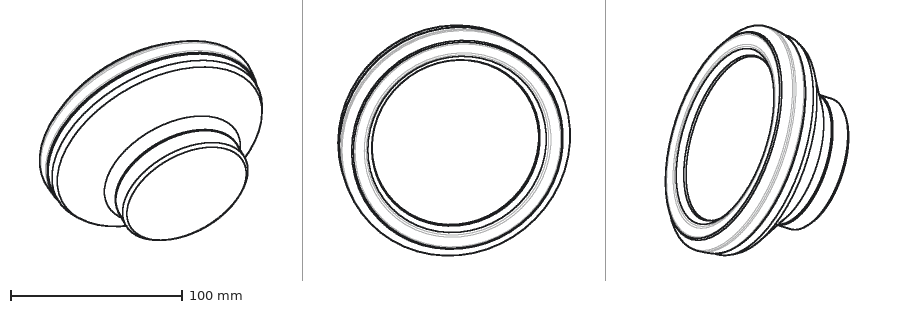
import cadquery as cq

total_length = 63.1
joint_x = 15.0

bezel_radius = 68.6
bezel_rear_edge_x = 14.3
bezel_rear_edge_radius = 67.6
bezel_crown_start = 6.0
bezel_crown_flat = 1.1
bezel_shoulder_x = 12.9
bezel_shoulder_radius = 68.0
bevel_end_x = 5.1
bevel_end_radius = 68.2
bevel_start_x = 1.0
bevel_start_radius = 63.2
rim_radius = 62.4
dish_outer_radius = 61.5
dish_outer_x = 0.1
dish_inner_radius = 55.8
dish_inner_x = 1.0
lip_radius = 54.6
lip_x = 1.2
mouth_radius = 53.4
mouth_x = 1.8
floor_x = 6.3
opening_radius = 49.8
land_depth = 1.2
land_taper = 0.5
rounding_bulge = 0.11

band_radius = 134.2 / 2
band_end_x = 20.3
cone_start_x = 24.0
cone_start_radius = 65.3
cone_end_x = 42.5
cone_end_radius = 43.3
neck_radius = 79.5 / 2
neck_x = 50.0
collar_radius = 80.0 / 2
collar_x = 51.0
collar_chamfer = 1.9


def revolve_about_x(profile):
    """Turn a closed XY half profile (Y is the radius) about the X axis."""
    return profile.close().revolve(360, (0, 0, 0), (1, 0, 0))


def make_bezel():
    """Dished, bevelled ring with a tapered opening."""
    profile = (
        cq.Workplane("XY")
        .moveTo(joint_x, opening_radius)
        .lineTo(floor_x, opening_radius)
        .lineTo(floor_x - land_depth, opening_radius + land_taper)
        .lineTo(mouth_x, mouth_radius)
        .lineTo(lip_x, lip_radius)
        .lineTo(dish_inner_x, dish_inner_radius)
        .lineTo(dish_outer_x, dish_outer_radius)
        .lineTo(0, rim_radius)
        .sagittaArc((bevel_start_x, bevel_start_radius), rounding_bulge)
        .lineTo(bevel_end_x, bevel_end_radius)
        .sagittaArc((bezel_crown_start, bezel_radius), rounding_bulge)
        .lineTo(bezel_crown_start + bezel_crown_flat, bezel_radius)
        .lineTo(bezel_shoulder_x, bezel_shoulder_radius)
        .lineTo(bezel_rear_edge_x, bezel_rear_edge_radius)
        .lineTo(joint_x, band_radius)
    )
    return revolve_about_x(profile)


def make_housing():
    """Flared body with a front boss filling the bezel and a rear collar."""
    profile = (
        cq.Workplane("XY")
        .moveTo(floor_x, 0)
        .lineTo(floor_x, opening_radius)
        .lineTo(joint_x, opening_radius)
        .lineTo(joint_x, band_radius)
        .lineTo(band_end_x, band_radius)
        .lineTo(cone_start_x, cone_start_radius)
        .lineTo(cone_end_x, cone_end_radius)
        .lineTo(neck_x, neck_radius)
        .lineTo(collar_x, neck_radius)
        .lineTo(collar_x, collar_radius)
        .lineTo(total_length - collar_chamfer, collar_radius)
        .lineTo(total_length, collar_radius - collar_chamfer)
        .lineTo(total_length, 0)
    )
    return revolve_about_x(profile)


bezel = make_bezel()
housing = make_housing()
result = cq.Compound.makeCompound([bezel.val(), housing.val()])